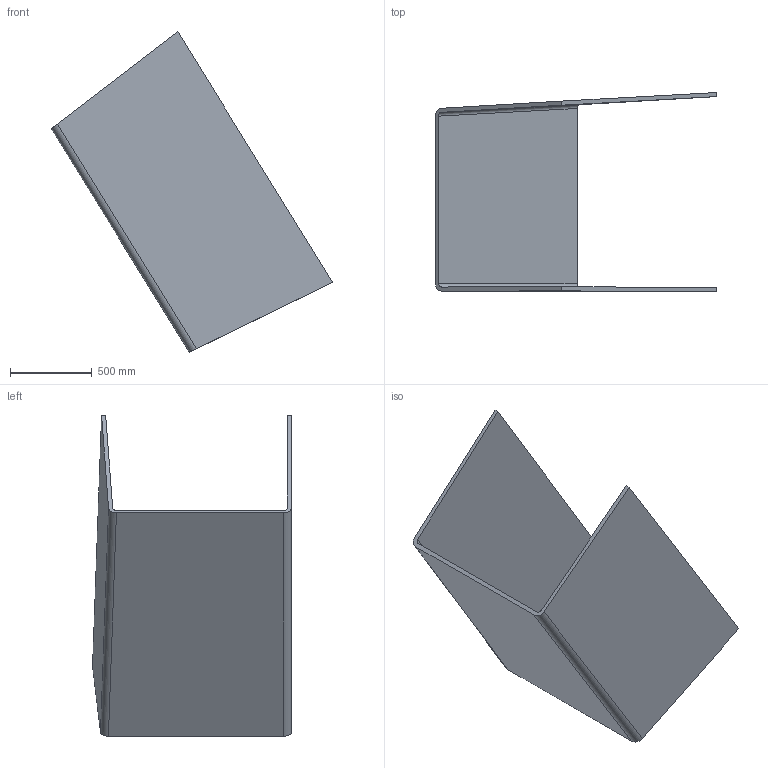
import cadquery as cq

sheet_thickness = 25.0
bend_radius = 48.0
web_length = 1602.3
wall_depth = 968.04
end_flare = 97.71
upper_width = 1113.75
web_taper = 49.0
wall_opening = 48.0
web_lean = 31.717

top_z = end_flare
bottom_z = -web_length - end_flare

opening_slope = wall_opening / wall_depth
taper_slope = web_taper / web_length
full_width = upper_width + wall_opening - taper_slope * bottom_z


def flared_block():
    """Block across the full width, with the side outline of the walls."""
    outline = [
        (0, 0),
        (wall_depth, top_z),
        (wall_depth, bottom_z),
        (0, -web_length),
    ]
    return cq.Workplane("XZ").polyline(outline).close().extrude(-full_width)


def beyond_far_wall():
    """Everything on the outer side of the sloping far wall."""
    outer_plane = cq.Plane(
        origin=(0, upper_width, 0),
        xDir=(1, opening_slope, 0),
        normal=(-opening_slope, 1, taper_slope),
    )
    reach = 4 * (web_length + wall_depth)
    return cq.Workplane(outer_plane).rect(reach, reach).extrude(full_width)


def bent_channel():
    """Sheet of constant thickness, open at both ends and along the free edges."""
    envelope = flared_block().cut(beyond_far_wall())
    rounded = envelope.faces("<X").edges("<Y or >Y").fillet(bend_radius)
    return rounded.faces(">X or >Z or <Z").shell(-sheet_thickness)


result = bent_channel().rotate((0, 0, 0), (0, 1, 0), -web_lean)